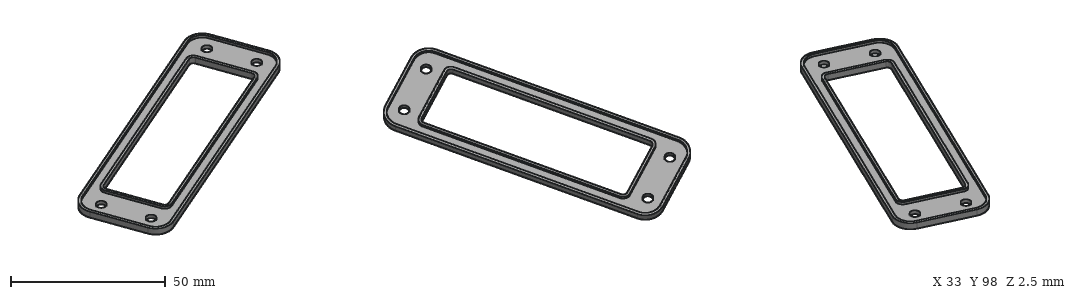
import cadquery as cq

width = 33.0
length = 98.0
height = 2.5
corner_radius = 6.3

wall = 1.0
recess_depth = 1.0
floor_height = height - recess_depth

window_width = 22.9
window_length = 72.5
window_radius = 1.5

hole_diameter = 3.5
hole_spacing_x = 17.5
hole_spacing_y = 86.0


def rounded_block(size_x, size_y, radius, bottom, top):
    """Upright block with rounded vertical edges, centred on the Z axis."""
    block = cq.Workplane("XY").workplane(offset=bottom).rect(size_x, size_y).extrude(top - bottom)
    return block.edges("|Z").fillet(radius)


def recess():
    """Ring-shaped recess between the outer rim and the window lip."""
    inside_rim = rounded_block(
        width - 2 * wall, length - 2 * wall, corner_radius - wall, floor_height, height
    )
    window_lip = rounded_block(
        window_width + 2 * wall, window_length + 2 * wall, window_radius + wall, floor_height, height
    )
    return inside_rim.cut(window_lip)


def mounting_holes():
    """Four through holes, one near each corner."""
    centres = cq.Workplane("XY").rect(hole_spacing_x, hole_spacing_y, forConstruction=True).vertices()
    return centres.circle(hole_diameter / 2).extrude(height)


plate = rounded_block(width, length, corner_radius, 0, height)
window = rounded_block(window_width, window_length, window_radius, 0, height)
result = plate.cut(window).cut(recess()).cut(mounting_holes())